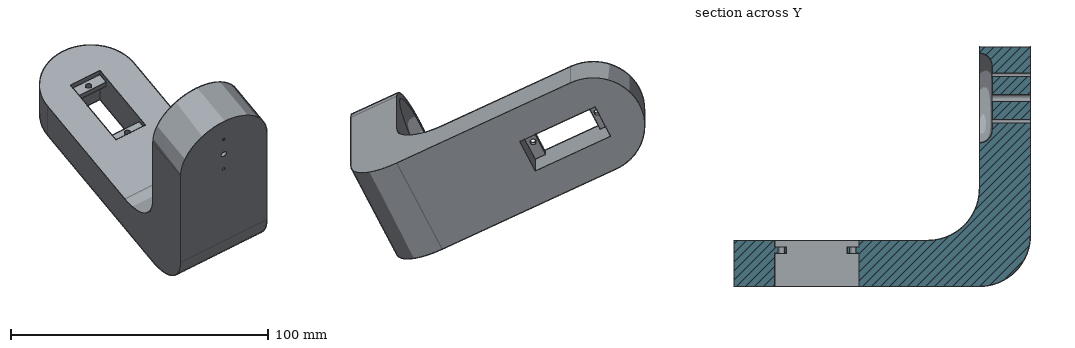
import cadquery as cq

length = 115.4
height = 93.4
width = 40.0
base_thickness = 18.0
arm_thickness = 20.0
bend_radius = 20.0
end_radius = width / 2
arm_face_x = length - arm_thickness

slot_start = 15.9
slot_end = 48.6
slot_width = 13.6
tab_depth = 2.5
tab_thickness = 2.5
tab_reach = 4.5
tab_hole_diameter = 2.3
tab_hole_inset = 2.4

recess_radius = 17.4
recess_depth = 5.0
recess_floor_radius = recess_radius - recess_depth
center_hole_diameter = 2.5
side_hole_diameter = 1.2
side_hole_offset = 9.0
recess_center_z = height - end_radius


def bent_bar():
    """L-shaped bar with a rounded bend, full width and square ended."""
    return (
        cq.Workplane("XZ")
        .moveTo(0, 0)
        .lineTo(length - bend_radius, 0)
        .radiusArc((length, bend_radius), -bend_radius)
        .lineTo(length, height)
        .lineTo(arm_face_x, height)
        .lineTo(arm_face_x, base_thickness + bend_radius)
        .radiusArc((arm_face_x - bend_radius, base_thickness), bend_radius)
        .lineTo(0, base_thickness)
        .close()
        .extrude(width / 2, both=True)
    )


def end_rounding():
    """Plan outline of the base and end outline of the arm, each with a round end."""
    plan = (
        cq.Workplane("XY")
        .moveTo(length, -end_radius)
        .lineTo(end_radius, -end_radius)
        .threePointArc((0, 0), (end_radius, end_radius))
        .lineTo(length, end_radius)
        .close()
        .extrude(height)
    )
    elevation = (
        cq.Workplane("YZ")
        .moveTo(-end_radius, 0)
        .lineTo(end_radius, 0)
        .lineTo(end_radius, recess_center_z)
        .threePointArc((0, height), (-end_radius, recess_center_z))
        .close()
        .extrude(length)
    )
    return plan.intersect(elevation)


def slot_cutter():
    """Through slot, less the tabs left standing at both ends."""
    slot_length = slot_end - slot_start
    cutter = cq.Workplane("XY").box(
        slot_length, slot_width, base_thickness, centered=(False, True, False)
    ).translate((slot_start, 0, 0))
    tab_bottom = base_thickness - tab_depth - tab_thickness
    for tab_x in (slot_start, slot_end - tab_reach):
        tab = cq.Workplane("XY").box(
            tab_reach, slot_width, tab_thickness, centered=(False, True, False)
        )
        cutter = cutter.cut(tab.translate((tab_x, 0, tab_bottom)))
    for hole_x in (slot_start + tab_hole_inset, slot_end - tab_hole_inset):
        hole = cq.Workplane("XY").center(hole_x, 0).circle(tab_hole_diameter / 2)
        cutter = cutter.union(hole.extrude(base_thickness))
    return cutter


def recess_cutter():
    """Round dish whose wall curves in to meet the flat floor."""
    dish = (
        cq.Workplane("XY")
        .lineTo(recess_radius, 0)
        .radiusArc((recess_floor_radius, recess_depth), -recess_depth)
        .lineTo(0, recess_depth)
        .close()
        .revolve(360, (0, 0, 0), (0, 1, 0))
    )
    return dish.rotate((0, 0, 0), (0, 0, 1), -90).translate((arm_face_x, 0, recess_center_z))


def arm_holes():
    face = cq.Workplane("YZ", origin=(arm_face_x, 0, recess_center_z))
    center_hole = face.circle(center_hole_diameter / 2).extrude(arm_thickness)
    side_holes = (
        face.pushPoints([(0, side_hole_offset), (0, -side_hole_offset)])
        .circle(side_hole_diameter / 2)
        .extrude(arm_thickness)
    )
    return center_hole.union(side_holes)


body = bent_bar().intersect(end_rounding())
result = body.cut(slot_cutter()).cut(recess_cutter()).cut(arm_holes())